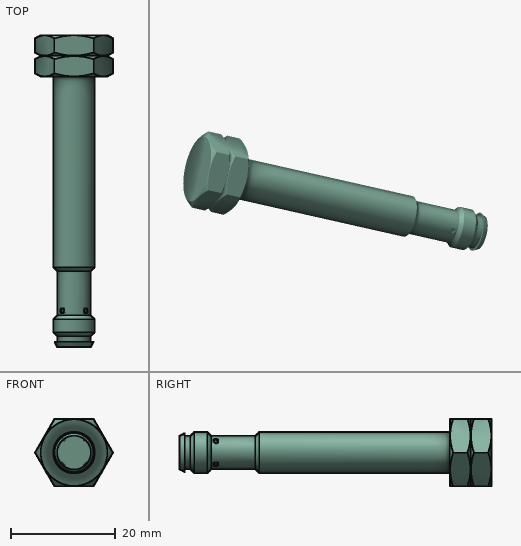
import cadquery as cq
import math

total_length = 60.0

body_radius = 4.0
neck_radius = 3.25
body_chamfer = body_radius - neck_radius

lip_radius = 3.75
lip_length = 1.0
collar_start = 2.1
collar_end = 6.1
barrel_start = 14.6

window_count = 4
window_diameter = 1.0
window_depth = 0.3
window_y = 7.0
first_window_angle = 45.0

nut_count = 2
nut_across_flats = 13.0
nut_thickness = 4.0
nut_chamfer_angle = 30.0
nut_face_radius = 6.4

nut_corner_radius = nut_across_flats / math.sqrt(3)
nut_corner_drop = (nut_corner_radius - nut_face_radius) * math.tan(math.radians(nut_chamfer_angle))


def revolve_about_y(half_profile):
    """Turn a closed (radius, y) outline about the Y axis."""
    return cq.Workplane("XY").polyline(half_profile).close().revolve(360, (0, 0, 0), (0, 1, 0))


def make_body():
    """Stepped shaft: flared lip, groove, collar, neck and long barrel."""
    return revolve_about_y([
        (0, 0),
        (neck_radius, 0),
        (lip_radius, lip_length),
        (neck_radius, lip_length),
        (neck_radius, collar_start),
        (body_radius, collar_start + body_chamfer),
        (body_radius, collar_end - body_chamfer),
        (neck_radius, collar_end),
        (neck_radius, barrel_start),
        (body_radius, barrel_start + body_chamfer),
        (body_radius, total_length),
        (0, total_length),
    ])


def make_nut(start_y):
    """Hexagonal nut with conically chamfered corners on both faces."""
    end_y = start_y + nut_thickness
    hexagon = (
        cq.Workplane("XZ", origin=(0, start_y, 0))
        .polygon(6, 2 * nut_corner_radius)
        .extrude(-nut_thickness)
    )
    corner_envelope = revolve_about_y([
        (0, start_y),
        (nut_face_radius, start_y),
        (nut_corner_radius, start_y + nut_corner_drop),
        (nut_corner_radius, end_y - nut_corner_drop),
        (nut_face_radius, end_y),
        (0, end_y),
    ])
    return hexagon.intersect(corner_envelope)


def make_window(angle):
    """Cutter for one shallow round recess, pointing radially at the given angle about Y."""
    floor_radius = neck_radius - window_depth
    return (
        cq.Workplane("XY", origin=(0, window_y, floor_radius))
        .circle(window_diameter / 2)
        .extrude(2 * window_depth)
        .rotate((0, 0, 0), (0, 1, 0), angle)
    )


result = make_body()

for index in range(nut_count):
    result = result.union(make_nut(total_length - (index + 1) * nut_thickness))

for index in range(window_count):
    result = result.cut(make_window(first_window_angle + index * 360.0 / window_count))